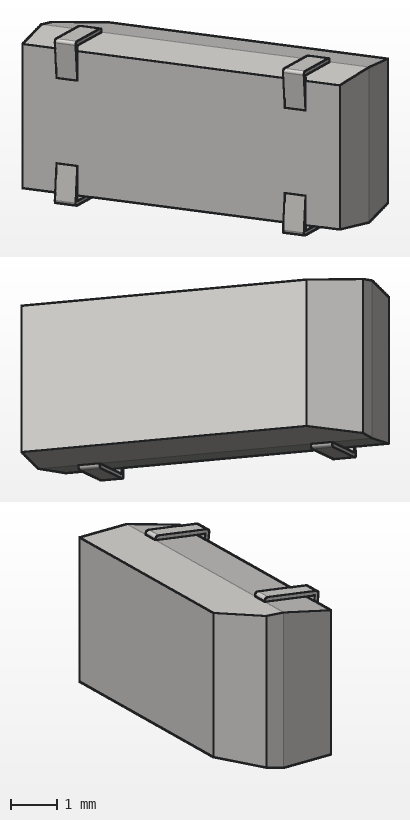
import cadquery as cq
import math

body_length = 7.9
body_height = 3.5
half_depth = 1.2
draft_angle = 6.0

bevel_length = 1.03
bevel_depth = 0.8

lead_pitch = 5.5
lead_width = 0.5
lead_thickness = 0.1
foot_standoff = 0.099
foot_reach = 0.89
foot_angle = 6.0
bend_radius = 0.07
arm_end_radius = 0.08


def make_bevel_cutter():
    """Triangular prism that removes the rear edge of the -X end."""
    end_x = -body_length / 2
    wall_inset = (half_depth - bevel_depth) * math.tan(math.radians(draft_angle))
    depth_at_end = bevel_depth * bevel_length / (bevel_length - wall_inset)
    return (
        cq.Workplane("XY")
        .polyline([
            (end_x, half_depth - depth_at_end),
            (end_x + bevel_length, half_depth),
            (end_x, half_depth),
        ])
        .close()
        .extrude(body_height / 2, both=True)
    )


def make_body():
    """Two frustums that taper away from the parting plane, with one rear edge cut off."""
    parting_outline = cq.Workplane("XZ").rect(body_length, body_height)
    front_half = parting_outline.extrude(half_depth, taper=draft_angle)
    rear_half = front_half.mirror("XZ")
    return front_half.union(rear_half).cut(make_bevel_cutter())


def make_upper_lead(center_x):
    """Arm on the top side of the body, with its foot leaning into the front face."""
    inner_z = body_height / 2
    outer_z = inner_z + lead_thickness
    outer_y = -half_depth - foot_standoff
    inner_y = outer_y + lead_thickness
    foot_end_z = outer_z - foot_reach
    foot_lean = foot_reach * math.tan(math.radians(foot_angle))

    lead = (
        cq.Workplane("YZ")
        .polyline([
            (0, inner_z),
            (0, outer_z),
            (outer_y, outer_z),
            (outer_y + foot_lean, foot_end_z),
            (inner_y + foot_lean, foot_end_z),
            (inner_y, inner_z),
        ])
        .close()
        .extrude(lead_width / 2, both=True)
    )
    lead = lead.edges("|X and >Z and <Y").fillet(bend_radius)
    lead = lead.edges("|X and >Z and >Y").fillet(arm_end_radius)
    return lead.translate((center_x, 0, 0))


result = make_body()
for lead_x in (-lead_pitch / 2, lead_pitch / 2):
    upper_lead = make_upper_lead(lead_x)
    lower_lead = upper_lead.mirror("XY")
    result = result.union(upper_lead).union(lower_lead)